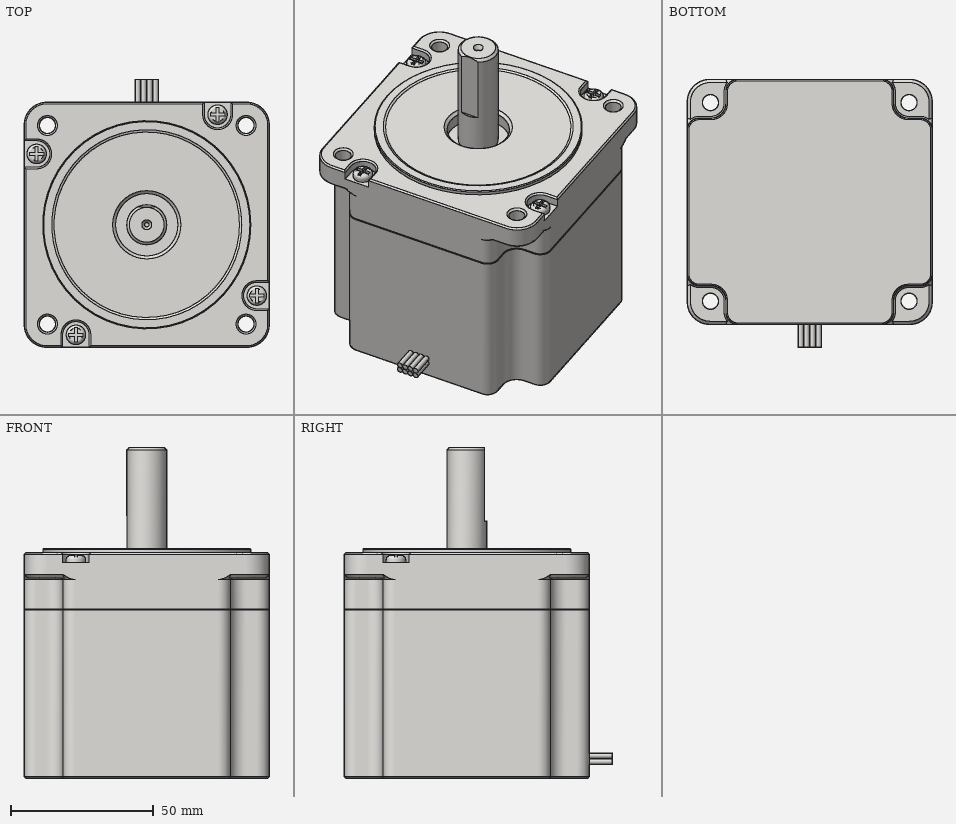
import cadquery as cq
import math

body_side = 86.0
half_side = body_side / 2
flange_top = 79.1
flange_corner_radius = 8.0
edge_chamfer = 0.6

notch_size = 13.6
notch_top = 71.5
notch_inner_radius = 5.2
notch_outer_radius = 4.2
notch_root_chamfer = 1.7
flange_lower_chamfer = 1.2

stator_top = 59.0
joint_width = 0.3
joint_depth = 0.1

hole_spacing = 69.6
hole_diameter = 5.6
hole_chamfer = 0.7

pilot_diameter = 73.0
pilot_top = 80.6
pilot_chamfer = 0.3
face_rim_diameter = 66.6
face_floor_diameter = 65.0
face_depth = 0.3
bore_rim_diameter = 23.9
bore_diameter = 21.8
bore_floor = 74.8

shaft_diameter = 14.0
shaft_top = 116.0
shaft_chamfer = 0.9
flat_depth = 0.8
flat_bottom = 90.1
center_hole_diameter = 3.5
center_drill_diameter = 1.5
center_hole_taper_depth = 1.7
center_hole_depth = 4.6

screw_offset = 24.8
screw_edge_distance = 4.4
pocket_radius = 4.6
pocket_depth = 3.5
pocket_chamfer = 0.6
screw_diameter = 6.8
screw_rim_height = 1.0
screw_height = 2.4
screw_top_diameter = 4.8
cross_length = 5.1
cross_width = 1.0
cross_depth = 1.2

wire_columns = 4
wire_rows = 2
wire_diameter = 2.0
wire_spacing = 2.1
wire_length = 8.0
wire_center_height = 6.8


def cylinder(diameter, bottom, top):
    return cq.Workplane("XY").workplane(offset=bottom).circle(diameter / 2).extrude(top - bottom)


def cone(bottom_diameter, bottom, top_diameter, top):
    """Truncated cone about the Z axis."""
    return (
        cq.Workplane("XZ")
        .moveTo(0, bottom)
        .lineTo(bottom_diameter / 2, bottom)
        .lineTo(top_diameter / 2, top)
        .lineTo(0, top)
        .close()
        .revolve(360, (0, 0, 0), (0, 1, 0))
    )


def on_each_side(shape):
    """Four copies of a shape, a quarter turn apart about the shaft axis."""
    copies = shape
    for turn in range(1, 4):
        copies = copies.union(shape.rotate((0, 0, 0), (0, 0, 1), 90 * turn))
    return copies


def corner_notch():
    """Cutter for the notch at the -X, -Y corner, bevelled where it meets the flange."""
    edge = -half_side
    outside = edge - 2 * notch_size
    lobe_end = edge + notch_size + notch_outer_radius
    run_out = lobe_end + notch_size
    wall = edge + notch_size
    lobe_start = edge + notch_outer_radius
    inner_start = wall - notch_inner_radius
    outer_diagonal = notch_outer_radius * (1 - math.sqrt(0.5))
    inner_diagonal = notch_inner_radius * (1 - math.sqrt(0.5))
    return (
        cq.Workplane("XY")
        .moveTo(outside, outside)
        .lineTo(run_out, outside)
        .lineTo(run_out, edge)
        .lineTo(lobe_end, edge)
        .threePointArc((wall + outer_diagonal, edge + outer_diagonal), (wall, lobe_start))
        .lineTo(wall, inner_start)
        .threePointArc((wall - inner_diagonal, wall - inner_diagonal), (inner_start, wall))
        .lineTo(lobe_start, wall)
        .threePointArc((edge + outer_diagonal, wall + outer_diagonal), (edge, lobe_end))
        .lineTo(edge, run_out)
        .lineTo(outside, run_out)
        .close()
        .extrude(notch_top)
        .faces(">Z")
        .edges()
        .chamfer(notch_root_chamfer)
    )


def rounded_block(bottom):
    """Square block with rounded vertical edges, reaching up to the flange face."""
    return (
        cq.Workplane("XY")
        .workplane(offset=bottom)
        .rect(body_side, body_side)
        .extrude(flange_top - bottom)
        .edges("|Z")
        .fillet(flange_corner_radius)
    )


def housing():
    flange = rounded_block(notch_top - flange_lower_chamfer)
    flange = flange.faces("<Z").edges().chamfer(flange_lower_chamfer)
    block = rounded_block(0).faces(">Z").edges().chamfer(edge_chamfer)
    notches = on_each_side(corner_notch().cut(flange))
    return block.cut(notches).faces("<Z").edges().chamfer(edge_chamfer)


def mounting_holes():
    hole = cylinder(hole_diameter, 0, flange_top).union(
        cone(hole_diameter, flange_top - hole_chamfer, hole_diameter + 2 * hole_chamfer, flange_top)
    )
    return on_each_side(hole.translate((hole_spacing / 2, hole_spacing / 2, 0)))


def pilot():
    return cylinder(pilot_diameter, bore_floor, pilot_top).faces(">Z").edges().chamfer(pilot_chamfer)


def pilot_recesses():
    face_level = pilot_top - face_depth
    bore_chamfer = (bore_rim_diameter - bore_diameter) / 2
    face = cone(face_floor_diameter, face_level, face_rim_diameter, pilot_top)
    bore = cylinder(bore_diameter, bore_floor, face_level)
    bore_edge = cone(bore_diameter, face_level - bore_chamfer, bore_rim_diameter, face_level)
    return face.union(bore).union(bore_edge)


def shaft():
    """Output shaft with a flat on its +Y side and a centre hole in its end."""
    rod = cylinder(shaft_diameter, bore_floor, shaft_top).faces(">Z").edges().chamfer(shaft_chamfer)
    flat = (
        cq.Workplane("XY")
        .workplane(offset=flat_bottom)
        .center(0, shaft_diameter - flat_depth)
        .rect(2 * shaft_diameter, shaft_diameter)
        .extrude(shaft_top - flat_bottom)
    )
    taper_start = shaft_top - center_hole_taper_depth
    center_hole = cylinder(center_drill_diameter, shaft_top - center_hole_depth, taper_start).union(
        cone(center_drill_diameter, taper_start, center_hole_diameter, shaft_top)
    )
    return rod.cut(flat).cut(center_hole)


def screw_pocket():
    """Round-ended pocket open through the -Y side, with a chamfered top edge."""
    open_length = 2 * pocket_radius
    chamfer_start = pocket_depth - pocket_chamfer
    rim_radius = pocket_radius + pocket_chamfer
    round_end = cylinder(2 * pocket_radius, 0, pocket_depth).union(
        cone(2 * pocket_radius, chamfer_start, 2 * rim_radius, pocket_depth)
    )
    open_end = (
        cq.Workplane("XZ")
        .moveTo(-pocket_radius, 0)
        .lineTo(pocket_radius, 0)
        .lineTo(pocket_radius, chamfer_start)
        .lineTo(rim_radius, pocket_depth)
        .lineTo(-rim_radius, pocket_depth)
        .lineTo(-pocket_radius, chamfer_start)
        .close()
        .extrude(open_length)
    )
    return round_end.union(open_end)


def screw_head():
    """Cheese head with a domed shoulder and a cross recess."""
    head = (
        cq.Workplane("XZ")
        .lineTo(screw_diameter / 2, 0)
        .lineTo(screw_diameter / 2, screw_rim_height)
        .tangentArcPoint((screw_top_diameter / 2, screw_height), relative=False)
        .lineTo(0, screw_height)
        .close()
        .revolve(360, (0, 0, 0), (0, 1, 0))
    )
    recess_floor = cq.Workplane("XY").workplane(offset=screw_height - cross_depth)
    slot = recess_floor.rect(cross_length, cross_width).extrude(cross_depth)
    return head.cut(slot).cut(slot.rotate((0, 0, 0), (0, 0, 1), 90))


def at_screw(shape):
    """Put a copy of a shape on the floor level of each screw pocket."""
    place = (-screw_offset, -half_side + screw_edge_distance, flange_top - pocket_depth)
    return on_each_side(shape.translate(place))


def joint_groove(body):
    """Shallow groove that follows the notched outline between front cover and stator."""
    slab = cq.Workplane("XY").workplane(offset=stator_top).rect(body_side, body_side).extrude(joint_width)
    section = body.intersect(slab)
    core_outline = section.faces(">Z").wires().toPending().offset2D(-joint_depth)
    core = core_outline.extrude(-joint_width, combine=False)
    return section.cut(core)


def lead_wires():
    wire = (
        cq.Workplane("XZ", origin=(0, half_side + wire_length, wire_center_height))
        .circle(wire_diameter / 2)
        .extrude(wire_length + wire_diameter)
    )
    bundle = cq.Workplane("XY")
    for column in range(wire_columns):
        for row in range(wire_rows):
            x = (column - (wire_columns - 1) / 2) * wire_spacing
            z = (row - (wire_rows - 1) / 2) * wire_spacing
            bundle = bundle.union(wire.translate((x, 0, z)))
    return bundle


motor_body = housing()
result = (
    motor_body.cut(joint_groove(motor_body))
    .union(pilot())
    .cut(pilot_recesses())
    .cut(mounting_holes())
    .cut(at_screw(screw_pocket()))
    .union(at_screw(screw_head()))
    .union(shaft())
    .union(lead_wires())
)